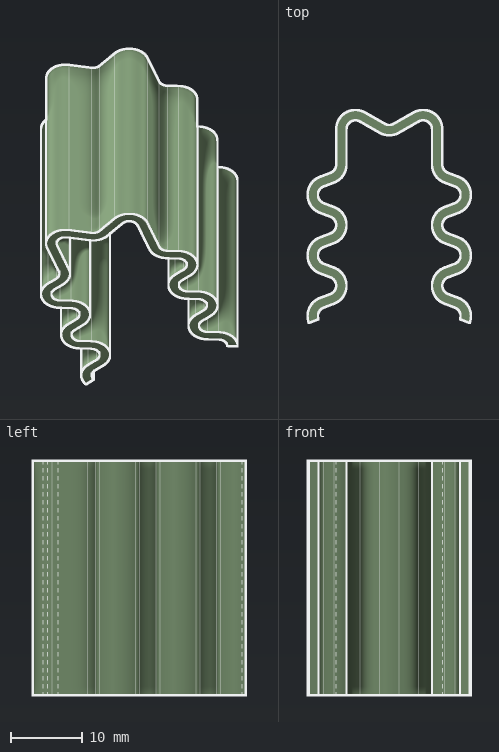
import cadquery as cq
import math

height = 33.0
width = 23.0
thickness = 1.5
bend_radius = 1.98
leg_x = 6.73
back_y = 15.0
notch_depth = 2.1
leg_bend_drop = 7.7
half_pitch = 4.25
corrugation_bends = 5
tip_angle = 202.0

notch = (0, back_y - notch_depth - thickness / 2 + bend_radius)
shoulder = (bend_radius - leg_x, back_y - thickness / 2 - bend_radius)
inner_bend_x = -leg_x - bend_radius
outer_bend_x = -width / 2 + thickness / 2 + bend_radius
centres = [notch, shoulder]
for i in range(corrugation_bends + 1):
    bend_x = inner_bend_x if i % 2 == 0 else outer_bend_x
    centres.append((bend_x, back_y - leg_bend_drop - i * half_pitch))


def leaving_angle(start, end, sense):
    """Angle on the start bend where the straight crossing to the end bend begins."""
    dx = end[0] - start[0]
    dy = end[1] - start[1]
    cosine = min(1.0, 2 * bend_radius / math.hypot(dx, dy))
    return math.atan2(dy, dx) + sense * math.acos(cosine)


def polar(centre, radius, angle):
    return (centre[0] + radius * math.cos(angle), centre[1] + radius * math.sin(angle))


def strip_side(offset):
    """Start, middle and end of each bend arc on one face of the strip."""
    arcs = []
    entry = math.radians(270)
    sense = 1
    for i, centre in enumerate(centres):
        if i + 1 < len(centres):
            leave = leaving_angle(centre, centres[i + 1], sense)
        else:
            leave = math.radians(tip_angle)
        turn = (-sense * (leave - entry)) % (2 * math.pi)
        middle = entry - sense * turn / 2
        radius = bend_radius + sense * offset
        arcs.append([polar(centre, radius, angle) for angle in (entry, middle, leave)])
        entry = leave + math.pi
        sense = -sense
    return arcs


def add_arcs(profile, arcs):
    """Join the arcs with the straights between them."""
    for start, middle, end in arcs:
        profile = profile.lineTo(*start).threePointArc(middle, end)
    return profile


inside = strip_side(thickness / 2)
outside = strip_side(-thickness / 2)
outside_reversed = [arc[::-1] for arc in reversed(outside)]

first_start, first_middle, first_end = inside[0]
profile = cq.Workplane("XY").moveTo(*first_start).threePointArc(first_middle, first_end)
profile = add_arcs(profile, inside[1:])
profile = add_arcs(profile, outside_reversed)
left_half = profile.close().extrude(height)

result = left_half.union(left_half.mirror("YZ")).clean()